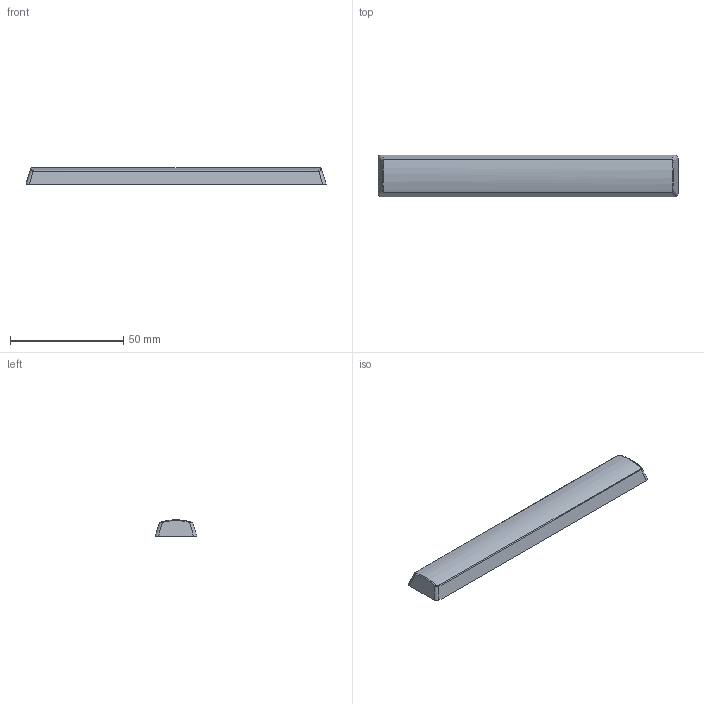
import cadquery as cq
import math

LENGTH = 132.6
WIDTH = 18.46
HEIGHT = 7.2

WALL_TAPER = 17.0
CORNER_RADIUS = 1.5
CROWN_DROP = 1.2
RIM_RADIUS = 0.5


def tapered_block():
    """Rectangular block with four leaning walls and rounded corner edges."""
    block = cq.Workplane("XY").rect(LENGTH, WIDTH).extrude(HEIGHT, taper=WALL_TAPER)
    corner_edges = block.edges("not(#Z)")
    return corner_edges.fillet(CORNER_RADIUS)


def crown_envelope():
    """Long bar with an arched top that limits the height of the block."""
    shoulder_height = HEIGHT - CROWN_DROP
    half_top_width = WIDTH / 2 - shoulder_height * math.tan(math.radians(WALL_TAPER))
    crown_radius = (half_top_width**2 + CROWN_DROP**2) / (2 * CROWN_DROP)

    half_width = WIDTH / 2
    side_height = HEIGHT - crown_radius + math.sqrt(crown_radius**2 - half_width**2)
    return (
        cq.Workplane("YZ")
        .moveTo(-half_width, 0)
        .lineTo(-half_width, side_height)
        .threePointArc((0, HEIGHT), (half_width, side_height))
        .lineTo(half_width, 0)
        .close()
        .extrude(LENGTH / 2, both=True)
    )


def round_rim(cap):
    """Round the edge loop around the crowned top face."""
    return cap.faces(">Z").edges().fillet(RIM_RADIUS)


result = round_rim(tapered_block().intersect(crown_envelope()))